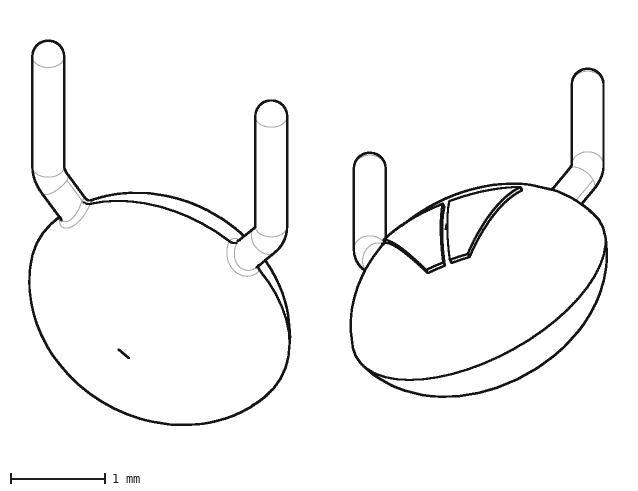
import cadquery as cq
import math

total_height = 4.87
rim_radius = 1.48
dome_height = 0.843
rim_handle_in = 0.07
rim_handle_out = 0.265
face_handle = 1.14

pin_radius = 0.17
pin_spacing = 2.54
pin_x = -pin_spacing / 2
pin_tip_height = total_height - rim_radius
bend_start_height = 1.63
bend_radius = 0.39
lean = math.radians(36)
foot_length = 0.875
foot_fillet = 0.07

pad_raise = 0.045
pad_top = 0.545
pad_bottom = -0.595
pad_top_half_width = 0.8
pad_bottom_half_width = 0.245
pad_gap = 0.08


def make_dome():
    """Half of the lens, on the +Y side of the rim plane."""
    profile = [
        (rim_radius, 0),
        (rim_radius - rim_handle_in, rim_handle_out),
        (face_handle, dome_height),
        (0, dome_height),
    ]
    return (
        cq.Workplane("XY")
        .moveTo(*profile[0])
        .bezier(profile)
        .lineTo(0, 0)
        .close()
        .revolve(360, (0, 0, 0), (0, 1, 0))
    )


def bend_point(turn):
    """X and Z of the left pin's centreline after the bend has turned by the given angle in radians."""
    return (
        pin_x + bend_radius * (1 - math.cos(turn)),
        bend_start_height - bend_radius * math.sin(turn),
    )


def make_left_foot():
    """Straight lower end of the -X pin, running from the bend into the body."""
    bend_end_x, bend_end_z = bend_point(lean)
    foot_direction = (math.sin(lean), 0, -math.cos(lean))
    across_foot = cq.Plane(origin=(bend_end_x, 0, bend_end_z), xDir=(0, 1, 0), normal=foot_direction)
    return cq.Workplane(across_foot).circle(pin_radius).extrude(foot_length)


def make_left_shaft():
    """Upper part of the -X pin: the bend, the upright shaft and its round tip."""
    shaft_top = pin_tip_height - pin_radius
    path = (
        cq.Workplane("XZ")
        .moveTo(pin_x, shaft_top)
        .lineTo(pin_x, bend_start_height)
        .threePointArc(bend_point(lean / 2), bend_point(lean))
    )
    shaft_end = cq.Workplane("XY", origin=(pin_x, 0, shaft_top))
    rod = shaft_end.circle(pin_radius).sweep(path)
    return rod.union(shaft_end.sphere(pin_radius))


def make_body_with_feet(dome):
    """Build the +Y half with the feet blended into the dome, then mirror it across the rim plane."""
    left_foot = make_left_foot()
    back_side = cq.Workplane("XY").box(
        2 * total_height, total_height, 2 * total_height, centered=(True, False, True)
    )
    foot_halves = left_foot.union(left_foot.mirror("YZ")).intersect(back_side)
    half = dome.union(foot_halves).edges("%BSPLINE").fillet(foot_fillet)
    return half.union(half.mirror("XZ"), clean=False)


def make_left_pad(dome):
    """Raised pad on the -X side, with a slanted outer edge and a top that follows the dome."""
    outline = [
        (-pad_gap / 2, pad_top),
        (-pad_top_half_width, pad_top),
        (-pad_bottom_half_width, pad_bottom),
        (-pad_gap / 2, pad_bottom),
    ]
    block = cq.Workplane("XZ").polyline(outline).close().extrude(-(dome_height + pad_raise))
    raised_dome = dome.translate((0, pad_raise, 0))
    sunk_dome = dome.translate((0, -pad_raise, 0))
    return block.intersect(raised_dome).cut(sunk_dome)


dome = make_dome()
result = make_body_with_feet(dome)
for left_feature in (make_left_shaft(), make_left_pad(dome)):
    for feature in (left_feature, left_feature.mirror("YZ")):
        result = result.union(feature, clean=False)